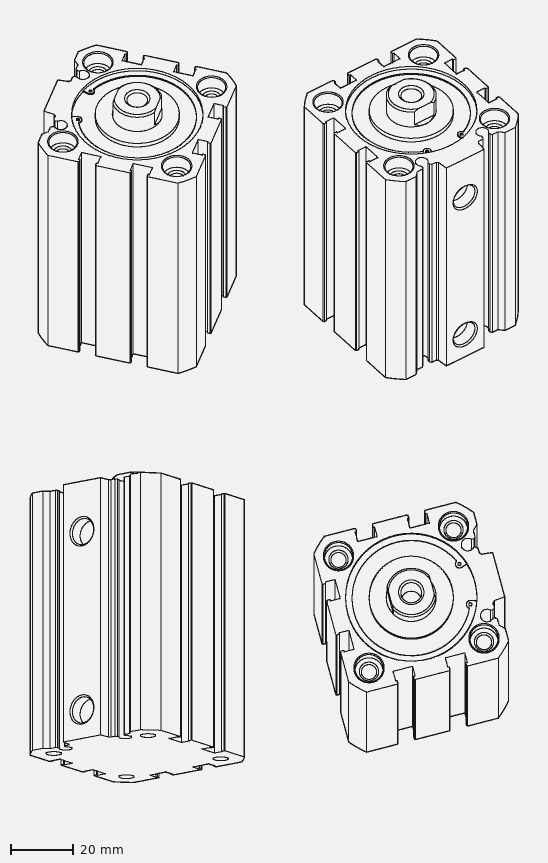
import cadquery as cq
import math

total_height = 92.0
body_height = 85.0
body_width = 53.0
half_width = body_width / 2
corner_diameter = 68.6

overall_length = 55.5
pad_x = half_width - overall_length
recessed_face_x = -24.8
pad_half_width = 7.5
pad_root_half_width = 7.9
pad_root_chamfer = 0.55
recess_edge_y = 16.1

slot_offset = 8.65
slot_mouth_width = 5.4
slot_inner_width = 6.4
slot_depth = 4.4
slot_lip = 1.2
slot_mouth_chamfer = 0.3

groove_y = 12.05
groove_x = -21.9
groove_diameter = 4.1
groove_neck_width = 2.8
groove_mouth_chamfer = 0.55

mount_offset = 19.0
mount_hole_diameter = 4.9
mount_hole_chamfer = 0.6
counterbore_diameter = 9.0
counterbore_depth = 5.0
counterbore_chamfer = 0.4

port_heights = (9.6, 68.45)
port_diameter = 8.6
port_depth = 4.6
port_chamfer = 0.55

cover_diameter = 42.0
cover_depth = 1.6
collar_diameter = 27.0
ring_inner_diameter = 37.9
ring_thickness = 0.5
ear_radius = 1.3
ear_pitch_radius = 19.0
ear_angle = 21.1
ear_hole_diameter = 1.0

rod_diameter = 16.0
rod_insertion = 18.4
rod_chamfer = 0.6
flat_width = 14.0
flat_bottom_z = 85.9
thread_diameter = 6.6
thread_depth = 12.9
thread_chamfer = 0.7

rod_bottom_z = body_height - rod_insertion
cover_z = body_height - cover_depth


def make_extrusion():
    """Square profile with a pad on the -X side and corners turned on the bore axis."""
    recess_depth = recessed_face_x + half_width
    upper_points = [
        (pad_x, pad_half_width),
        (recessed_face_x - pad_root_chamfer, pad_root_half_width),
        (recessed_face_x, pad_root_half_width + pad_root_chamfer),
        (recessed_face_x, recess_edge_y),
        (-half_width, recess_edge_y + recess_depth),
        (-half_width, half_width),
        (half_width, half_width),
    ]
    lower_points = [(x, -y) for x, y in reversed(upper_points)]
    outline = cq.Workplane("XY").polyline(upper_points + lower_points).close()
    turning = cq.Workplane("XY").circle(corner_diameter / 2).extrude(body_height)
    return outline.extrude(body_height).intersect(turning)


def make_mouth(face_x, depth, width, chamfer):
    """Cutter for a slot into the face at face_x, going toward -X, with chamfered edges at the face."""
    side = width / 2
    profile = [
        (face_x - depth, -side),
        (face_x - chamfer, -side),
        (face_x, -side - chamfer),
        (face_x, side + chamfer),
        (face_x - chamfer, side),
        (face_x - depth, side),
    ]
    return cq.Workplane("XY").polyline(profile).close().extrude(body_height)


def make_t_slot(offset):
    """T-slot cutter that opens toward +X."""
    mouth = make_mouth(half_width, slot_depth, slot_mouth_width, slot_mouth_chamfer)
    inner = cq.Workplane("XY").box(
        slot_depth - slot_lip, slot_inner_width, body_height, centered=(False, True, False)
    )
    return mouth.union(inner.translate((half_width - slot_depth, 0, 0))).translate((0, offset, 0))


def make_sensor_groove(side):
    """Keyhole-shaped cutter beside the pad that opens toward -X; side is +1 or -1."""
    neck_depth = groove_x - recessed_face_x
    neck = make_mouth(-recessed_face_x, neck_depth, groove_neck_width, groove_mouth_chamfer)
    neck = neck.rotate((0, 0, 0), (0, 0, 1), 180)
    round_part = cq.Workplane("XY").center(groove_x, 0).circle(groove_diameter / 2)
    return neck.union(round_part.extrude(body_height)).translate((0, side * groove_y, 0))


def chamfered_hole(diameter, depth, chamfer):
    """Cutter for a hole that goes down from Z = 0, with a 45 degree chamfer at its mouth."""
    radius = diameter / 2
    profile = [
        (0, 0),
        (radius + chamfer, 0),
        (radius, -chamfer),
        (radius, -depth),
        (0, -depth),
    ]
    return cq.Workplane("XZ").polyline(profile).close().revolve(360, (0, 0, 0), (0, 1, 0))


def make_mount_hole():
    counterbore = chamfered_hole(counterbore_diameter, counterbore_depth, counterbore_chamfer)
    through_length = body_height - counterbore_depth
    hole = chamfered_hole(mount_hole_diameter, through_length, mount_hole_chamfer)
    hole = hole.translate((0, 0, -counterbore_depth))
    return counterbore.union(hole).translate((0, 0, body_height))


def make_port(height):
    hole = chamfered_hole(port_diameter, port_depth, port_chamfer)
    return hole.rotate((0, 0, 0), (0, 1, 0), -90).translate((pad_x, 0, height))


def make_retaining_ring():
    """Open ring with an eyelet at each end; the gap faces -X."""
    outer_radius = cover_diameter / 2
    gap_half_angle = math.radians(ear_angle) - math.asin(ear_radius / ear_pitch_radius)
    ring = cq.Workplane("XY").circle(outer_radius).circle(ring_inner_diameter / 2)
    ring = ring.extrude(ring_thickness)
    gap_length = 1.5 * outer_radius
    gap_half_width = gap_length * math.tan(gap_half_angle)
    gap = cq.Workplane("XY").polyline([
        (0, 0),
        (-gap_length, gap_half_width),
        (-gap_length, -gap_half_width),
    ]).close().extrude(ring_thickness)
    ear_x = -ear_pitch_radius * math.cos(math.radians(ear_angle))
    ear_y = ear_pitch_radius * math.sin(math.radians(ear_angle))
    ear_places = cq.Workplane("XY").pushPoints([(ear_x, ear_y), (ear_x, -ear_y)])
    ears = ear_places.circle(ear_radius).extrude(ring_thickness)
    ear_holes = ear_places.circle(ear_hole_diameter / 2).extrude(ring_thickness)
    return ring.cut(gap).union(ears).cut(ear_holes)


def make_housing():
    housing = make_extrusion()
    for side_angle in (-90, 0, 90):
        for offset in (-slot_offset, slot_offset):
            slot = make_t_slot(offset).rotate((0, 0, 0), (0, 0, 1), side_angle)
            housing = housing.cut(slot)
    for side in (-1, 1):
        housing = housing.cut(make_sensor_groove(side))
    for x in (-mount_offset, mount_offset):
        for y in (-mount_offset, mount_offset):
            housing = housing.cut(make_mount_hole().translate((x, y, 0)))
    for height in port_heights:
        housing = housing.cut(make_port(height))

    cover = cq.Workplane("XY").workplane(offset=cover_z)
    housing = housing.cut(cover.circle(cover_diameter / 2).extrude(cover_depth))
    housing = housing.union(cover.circle(collar_diameter / 2).extrude(cover_depth))
    housing = housing.union(make_retaining_ring().translate((0, 0, cover_z)))

    rod_seat = cq.Workplane("XY").workplane(offset=rod_bottom_z)
    return housing.cut(rod_seat.circle(rod_diameter / 2).extrude(rod_insertion))


def make_rod_flat():
    """Cutter for the wrench flat on the +X side, with a 45 degree run-out at its lower end."""
    flat_x = flat_width / 2
    outer_x = rod_diameter
    profile = [
        (flat_x, total_height),
        (flat_x, flat_bottom_z),
        (outer_x, flat_bottom_z - (outer_x - flat_x)),
        (outer_x, total_height),
    ]
    return cq.Workplane("XZ").polyline(profile).close().extrude(rod_diameter, both=True)


def make_rod():
    rod = cq.Workplane("XY").workplane(offset=rod_bottom_z).circle(rod_diameter / 2)
    rod = rod.extrude(total_height - rod_bottom_z).faces(">Z").chamfer(rod_chamfer)
    for angle in (0, 180):
        rod = rod.cut(make_rod_flat().rotate((0, 0, 0), (0, 0, 1), angle))
    thread = chamfered_hole(thread_diameter, thread_depth, thread_chamfer)
    return rod.cut(thread.translate((0, 0, total_height)))


housing = make_housing()
rod = make_rod()
result = cq.Compound.makeCompound([housing.val(), rod.val()])